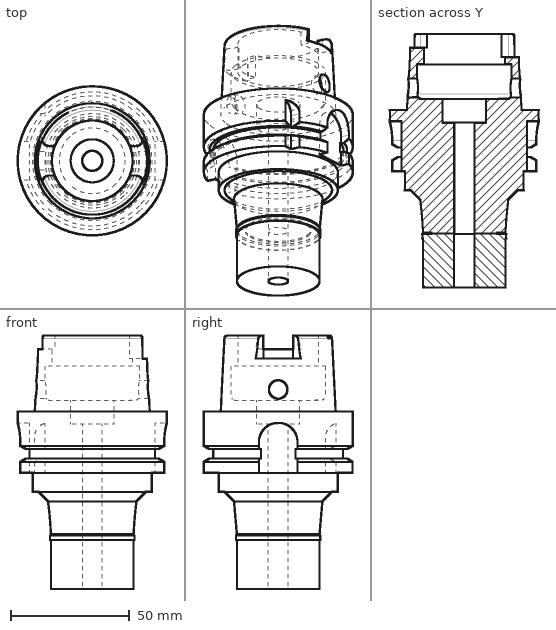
import cadquery as cq
import math

FLANGE_RADIUS = 31.5

TAPER_HEIGHT = 32.0
TAPER_SLOPE = 1 / 20
TAPER_BASE_RADIUS = 24.3
TAPER_TOP_FILLET = 1.4

GROOVE_RADIUS = 27.5
UPPER_RIM_BOTTOM = -14.6
GROOVE_TOP = -16.0
GROOVE_BOTTOM = -19.9
LOWER_RIM_TOP = -21.3
FLANGE_BOTTOM = -26.0
GROOVE_EDGE_RADIUS = 29.1

COLLAR_RADIUS = 25.2
COLLAR_BOTTOM = -34.0
SHOULDER_TOP_RADIUS = 22.7
SHOULDER_BOTTOM_RADIUS = 18.7
SHOULDER_BOTTOM = -38.0
CHUCK_END_RADIUS = 17.5
CHUCK_END = -51.8
NECK_RADIUS = 13.9

NUT_TOP = -52.4
NUT_BOTTOM = TAPER_HEIGHT - 107.0
NUT_RADIUS = CHUCK_END_RADIUS
NUT_RIM_RADIUS = 17.85
NUT_RIM_HEIGHT = 2.0

MOUTH_RADIUS = 17.0
CHAMBER_RADIUS = 19.9
CHAMBER_TOP = 19.2
CHAMBER_FLOOR = 4.6
CHAMBER_FILLET = 2.0
COUNTERBORE_RADIUS = 9.1
COUNTERBORE_DEPTH = 10.0
THROUGH_BORE_RADIUS = 4.2
ACCESS_HOLE_RADIUS = 3.85
ACCESS_HOLE_HEIGHT = 9.2

SLOT_WIDTH = 12.54
SLOT_CORNER_RADIUS = 2.6
SLOT_CORNER_MARGIN = 0.03
SLOT_FLOORS = {-1: 26.2, 1: 22.2}

KEYWAY_WIDTH = 16.3
KEYWAY_FLAT = 26.5
KEYWAY_TOP = -4.85

NOTCH_CORNER = 20.0
NOTCH_RADIUS = 6.0
NOTCH_TOP = -4.9

CLEARANCE = 5.0


def taper_radius(height):
    return TAPER_BASE_RADIUS - height * TAPER_SLOPE


def revolve_profile(points):
    return cq.Workplane("YZ").polyline(points).close().revolve(360, (0, 0), (0, 1))


def cylinder(radius, bottom, top):
    return cq.Workplane("XY").workplane(offset=bottom).circle(radius).extrude(top - bottom)


def make_outer_shape():
    taper = revolve_profile([
        (0, 0),
        (TAPER_BASE_RADIUS, 0),
        (taper_radius(TAPER_HEIGHT), TAPER_HEIGHT),
        (0, TAPER_HEIGHT),
    ]).faces(">Z").edges().fillet(TAPER_TOP_FILLET)
    body = revolve_profile([
        (0, 0),
        (FLANGE_RADIUS, 0),
        (FLANGE_RADIUS, UPPER_RIM_BOTTOM),
        (GROOVE_EDGE_RADIUS, GROOVE_TOP),
        (GROOVE_RADIUS, GROOVE_TOP),
        (GROOVE_RADIUS, GROOVE_BOTTOM),
        (GROOVE_EDGE_RADIUS, GROOVE_BOTTOM),
        (FLANGE_RADIUS, LOWER_RIM_TOP),
        (FLANGE_RADIUS, FLANGE_BOTTOM),
        (COLLAR_RADIUS, FLANGE_BOTTOM),
        (COLLAR_RADIUS, COLLAR_BOTTOM),
        (SHOULDER_TOP_RADIUS, COLLAR_BOTTOM),
        (SHOULDER_BOTTOM_RADIUS, SHOULDER_BOTTOM),
        (CHUCK_END_RADIUS, CHUCK_END),
        (NECK_RADIUS, CHUCK_END),
        (NECK_RADIUS, NUT_TOP),
        (0, NUT_TOP),
    ])
    return taper.union(body)


def make_bores():
    mouth = cylinder(MOUTH_RADIUS, CHAMBER_TOP, TAPER_HEIGHT + CLEARANCE)
    chamber = cylinder(CHAMBER_RADIUS, CHAMBER_FLOOR, CHAMBER_TOP)
    chamber = chamber.faces("<Z").edges().fillet(CHAMBER_FILLET)
    counterbore = cylinder(COUNTERBORE_RADIUS, CHAMBER_FLOOR - COUNTERBORE_DEPTH, CHAMBER_TOP)
    through_bore = cylinder(THROUGH_BORE_RADIUS, NUT_TOP, CHAMBER_TOP)
    return mouth.union(chamber).union(counterbore).union(through_bore)


def make_access_holes():
    return (
        cq.Workplane("YZ")
        .center(0, ACCESS_HOLE_HEIGHT)
        .circle(ACCESS_HOLE_RADIUS)
        .extrude(FLANGE_RADIUS, both=True)
    )


def make_drive_slot(side, floor):
    """Slot whose outer corners are rounded nearly tangent to the taper wall at the slot floor."""
    half_width = SLOT_WIDTH / 2
    outer_radius = taper_radius(floor) + SLOT_CORNER_MARGIN
    center_y = half_width + SLOT_CORNER_RADIUS
    center_x = math.sqrt((outer_radius - SLOT_CORNER_RADIUS) ** 2 - center_y ** 2)
    end_angle = math.atan2(center_y, center_x)
    middle_angle = (end_angle - math.pi / 2) / 2

    def corner_point(angle):
        x = center_x + SLOT_CORNER_RADIUS * math.cos(angle)
        y = center_y + SLOT_CORNER_RADIUS * math.sin(angle)
        return x, y

    def mirrored(point):
        return point[0], -point[1]

    corner_middle = corner_point(middle_angle)
    corner_end = corner_point(end_angle)
    reach = FLANGE_RADIUS / outer_radius
    outer_end = (corner_end[0] * reach, corner_end[1] * reach)
    slot = (
        cq.Workplane("XY")
        .workplane(offset=floor)
        .moveTo(0, half_width)
        .lineTo(center_x, half_width)
        .threePointArc(corner_middle, corner_end)
        .lineTo(*outer_end)
        .lineTo(*mirrored(outer_end))
        .lineTo(*mirrored(corner_end))
        .threePointArc(mirrored(corner_middle), (center_x, -half_width))
        .lineTo(0, -half_width)
        .close()
        .extrude(TAPER_HEIGHT + CLEARANCE - floor)
    )
    return slot if side > 0 else slot.mirror("YZ")


def make_flange_slot(side, flat, center_y, radius, top):
    """Round-topped slot with a flat floor facing X, open at the flange bottom."""
    arc_center = top - radius
    depth = FLANGE_RADIUS + CLEARANCE - flat
    return (
        cq.Workplane("YZ", origin=(side * flat, 0, 0))
        .moveTo(center_y - radius, FLANGE_BOTTOM)
        .lineTo(center_y - radius, arc_center)
        .threePointArc((center_y, top), (center_y + radius, arc_center))
        .lineTo(center_y + radius, FLANGE_BOTTOM)
        .close()
        .extrude(side * depth)
    )


def make_holder():
    holder = make_outer_shape().cut(make_bores()).cut(make_access_holes())
    for side, floor in SLOT_FLOORS.items():
        holder = holder.cut(make_drive_slot(side, floor))
        holder = holder.cut(make_flange_slot(side, KEYWAY_FLAT, 0, KEYWAY_WIDTH / 2, KEYWAY_TOP))
    notch_center = NOTCH_CORNER + NOTCH_RADIUS
    return holder.cut(make_flange_slot(-1, NOTCH_CORNER, notch_center, NOTCH_RADIUS, NOTCH_TOP))


def make_nut():
    rim_bottom = NUT_TOP - NUT_RIM_HEIGHT
    return revolve_profile([
        (THROUGH_BORE_RADIUS, NUT_TOP),
        (NUT_RIM_RADIUS, NUT_TOP),
        (NUT_RIM_RADIUS, rim_bottom),
        (NUT_RADIUS, rim_bottom),
        (NUT_RADIUS, NUT_BOTTOM),
        (THROUGH_BORE_RADIUS, NUT_BOTTOM),
    ])


holder = make_holder()
nut = make_nut()
result = cq.Compound.makeCompound([holder.solids().val(), nut.val()])